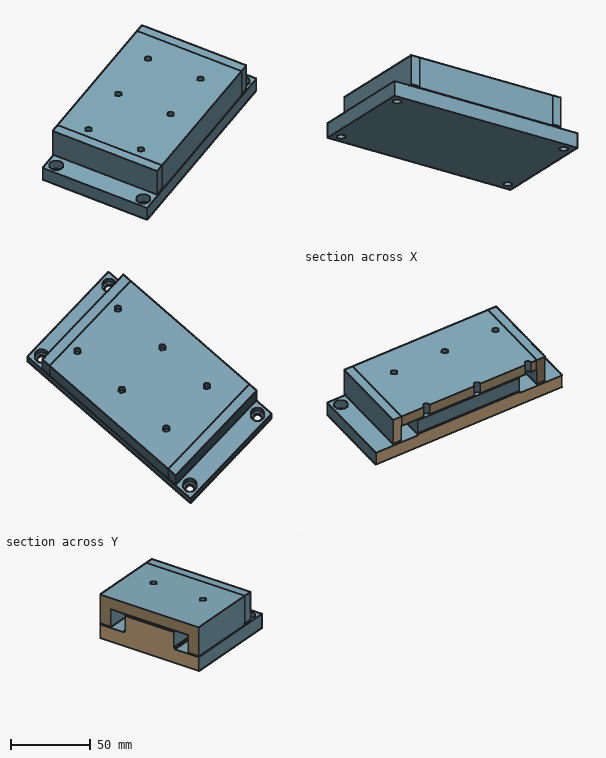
import cadquery as cq

width = 76.1
base_length = 139.7
total_height = 31.7
base_thickness = 10.2
rib_width = 38.1
rib_length = 76.1
foot_width = 39.7
foot_height = 0.5
rib_clearance = 1.0

carriage_length = 101.5
carriage_clearance = 0.4
channel_width = 59.5
roof_thickness = 8.4

cover_thickness = 6.3
cover_clearance = 1.3

mount_spacing_x = 63.4
mount_spacing_y = 127.0
mount_diameter = 5.6
counterbore_diameter = 8.8
counterbore_depth = 6.7

fixing_diameter = 4.2
fixing_pitch = width / 2
fixing_rows = (-1, 0, 1)
fixing_offset = -(width - mount_spacing_x) / 2

channel_top = total_height - roof_thickness
rib_top = channel_top - rib_clearance


def block(size_x, size_y, bottom, top):
    """Rectangular block centred on the Z axis between two heights."""
    return cq.Workplane("XY").workplane(offset=bottom).rect(size_x, size_y).extrude(top - bottom)


def make_rib():
    """Upright rib on the base: one cross-section extruded along Y."""
    rib_half = rib_width / 2
    foot_half = foot_width / 2
    slope_bottom = base_thickness + foot_height
    slope_top = slope_bottom + foot_half - rib_half
    return (
        cq.Workplane("XZ")
        .moveTo(-foot_half, base_thickness)
        .lineTo(foot_half, base_thickness)
        .lineTo(foot_half, slope_bottom)
        .lineTo(rib_half, slope_top)
        .lineTo(rib_half, rib_top)
        .lineTo(-rib_half, rib_top)
        .lineTo(-rib_half, slope_top)
        .lineTo(-foot_half, slope_bottom)
        .close()
        .extrude(rib_length / 2, both=True)
    )


def make_base():
    """Base plate with counterbored corner holes and the centre rib."""
    plate = block(width, base_length, 0, base_thickness)
    plate = (
        plate.faces(">Z").workplane()
        .rect(mount_spacing_x, mount_spacing_y, forConstruction=True)
        .vertices()
        .cboreHole(mount_diameter, counterbore_diameter, counterbore_depth)
    )
    return plate.union(make_rib())


def drill_fixing_holes(carriage):
    """Drill the fixing holes down through the carriage roof."""
    centres = [
        (side * fixing_pitch / 2, fixing_offset + row * fixing_pitch)
        for side in (-1, 1)
        for row in fixing_rows
    ]
    holes = (
        cq.Workplane("XY").workplane(offset=channel_top)
        .pushPoints(centres)
        .circle(fixing_diameter / 2)
        .extrude(roof_thickness)
    )
    return carriage.cut(holes)


def make_carriage():
    """Channel that straddles the rib, open downwards."""
    leg_bottom = base_thickness + carriage_clearance
    body = block(width, carriage_length, leg_bottom, total_height)
    body = body.cut(block(channel_width, carriage_length, leg_bottom, channel_top))
    return drill_fixing_holes(body)


def make_cover(side):
    """End cover on the carriage end that faces -Y (side = -1) or +Y (side = 1)."""
    cover = block(width, cover_thickness, base_thickness + cover_clearance, total_height)
    return cover.translate((0, side * (carriage_length + cover_thickness) / 2, 0))


base = make_base()
carriage = make_carriage()
covers = [make_cover(side) for side in (-1, 1)]

result = cq.Compound.makeCompound([base.val(), carriage.val(), *[cover.val() for cover in covers]])